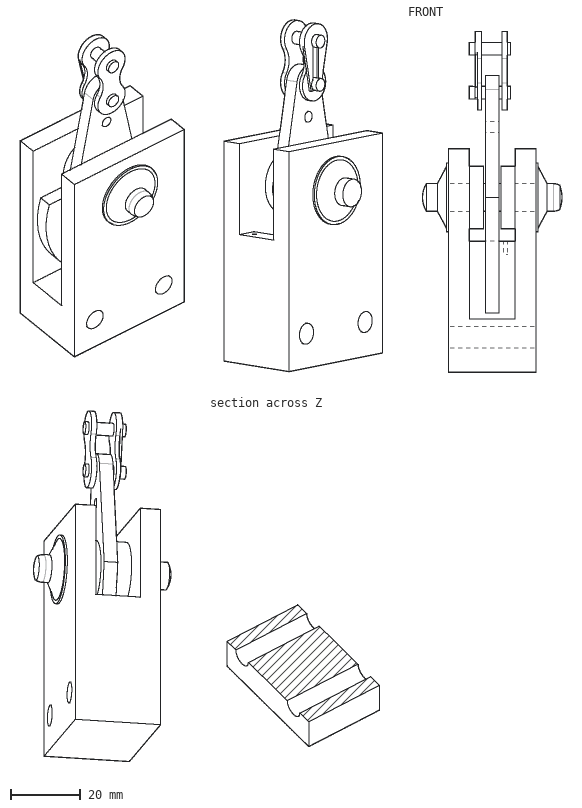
import cadquery as cq
import math


HOUSING_WIDTH = 25.1
HOUSING_DEPTH = 40.0
HOUSING_HEIGHT = 63.9
SLOT_WIDTH = 13.1
SLOT_FLOOR_Z = 15.2
REAR_WALL_THICKNESS = 6.2
REAR_WALL_TOP_Z = 37.5
MOUNT_HOLE_DIAMETER = 6.0
MOUNT_HOLE_SPACING = 25.1
MOUNT_HOLE_Z = 10.0
PILOT_HOLE_DIAMETER = 1.2
PILOT_HOLE_DEPTH = 3.9
PILOT_HOLE_X = 3.8
PILOT_HOLE_Y = 16.7

SHAFT_Z = 50.0
SHAFT_LENGTH = 40.0
SHAFT_RADIUS = 4.0
PLAIN_DOME_RISE = 1.2
NECK_START_X = 17.45
NECK_END_X = 19.3
NECK_END_RADIUS = 3.5
FLANGE_RADIUS = 9.8
FLANGE_THICKNESS = 0.6
CONE_BASE_RADIUS = 8.9
CONE_END_X = 15.7
COLLAR_RADIUS = 9.0
COLLAR_LENGTH = 4.1

LEVER_THICKNESS = 4.0
LEVER_TIP_RADIUS = 5.0
LEVER_TIP_Z = 79.9
LEVER_HALF_WIDTH = 11.0
LEVER_HOLE_DIAMETER = 3.1
LEVER_HOLE_Z = 70.1
CAM_RADIUS = 25.3
CAM_CENTER_Y = 3.3
CAM_CENTER_Z = 42.3

PIN_PITCH = 12.6
PIN_RADIUS = 1.9
PIN_LEFT_X = -6.6
PIN_RIGHT_X = 5.3
PLATE_END_RADIUS = 5.0
PLATE_WAIST_HALF_WIDTH = 3.0
LEFT_PLATE_X = -4.2
LEFT_PLATE_THICKNESS = 1.2
RIGHT_PLATE_X = 2.7
RIGHT_PLATE_THICKNESS = 1.6
CLIP_THICKNESS = 0.7
CLIP_FOOT_HALF_WIDTH = 2.0
CLIP_SLOT_WIDTH = 2.3

UPPER_PIN_Z = LEVER_TIP_Z + PIN_PITCH
INNER_WALL_X = SLOT_WIDTH / 2
OUTER_WALL_X = HOUSING_WIDTH / 2


def yz_plane(x):
    """Sketch plane at the given X: local x is Y, local y is Z, extrusion is +X."""
    return cq.Workplane("YZ", origin=(x, 0, 0))


def rod(x_start, x_end, z, radius):
    """Round bar along X, centred on Y = 0."""
    return yz_plane(x_start).center(0, z).circle(radius).extrude(x_end - x_start)


def flank_tangent(radius, center_z, point_y, point_z):
    """Point (y, z) on a circle at y = 0 where the line from a lower +Y point touches it."""
    distance = math.hypot(point_y, point_z - center_z)
    direction = math.atan2(point_z - center_z, point_y)
    angle = direction + math.acos(radius / distance)
    return radius * math.cos(angle), center_z + radius * math.sin(angle)


def make_housing():
    block = cq.Workplane("XY").box(
        HOUSING_WIDTH, HOUSING_DEPTH, HOUSING_HEIGHT, centered=(True, True, False)
    )
    slot = (
        cq.Workplane("XY", origin=(0, -REAR_WALL_THICKNESS / 2, SLOT_FLOOR_Z))
        .rect(SLOT_WIDTH, HOUSING_DEPTH - REAR_WALL_THICKNESS)
        .extrude(HOUSING_HEIGHT - SLOT_FLOOR_Z)
    )
    above_rear_wall = (
        cq.Workplane("XY", origin=(0, 0, REAR_WALL_TOP_Z))
        .rect(SLOT_WIDTH, HOUSING_DEPTH)
        .extrude(HOUSING_HEIGHT - REAR_WALL_TOP_Z)
    )
    shaft_bore = rod(-OUTER_WALL_X, OUTER_WALL_X, SHAFT_Z, SHAFT_RADIUS)
    mount_holes = (
        yz_plane(-OUTER_WALL_X)
        .center(0, MOUNT_HOLE_Z)
        .rarray(MOUNT_HOLE_SPACING, 1, 2, 1)
        .circle(MOUNT_HOLE_DIAMETER / 2)
        .extrude(HOUSING_WIDTH)
    )
    pilot_hole = (
        cq.Workplane("XY", origin=(PILOT_HOLE_X, PILOT_HOLE_Y, REAR_WALL_TOP_Z))
        .circle(PILOT_HOLE_DIAMETER / 2)
        .extrude(-PILOT_HOLE_DEPTH)
    )
    return block.cut(slot).cut(above_rear_wall).cut(shaft_bore).cut(mount_holes).cut(pilot_hole)


def revolve_about_shaft(half_profile):
    """Turn a closed (x, radius) profile about the shaft axis."""
    turned = half_profile.revolve(360, (0, 0, 0), (1, 0, 0))
    return turned.translate((0, 0, SHAFT_Z))


def make_shaft():
    tip_x = SHAFT_LENGTH / 2
    dome_base_x = PLAIN_DOME_RISE - tip_x
    dome_radius = (SHAFT_RADIUS**2 + PLAIN_DOME_RISE**2) / (2 * PLAIN_DOME_RISE)
    cap_rise = tip_x - NECK_END_X
    cap_radius = (NECK_END_RADIUS**2 + cap_rise**2) / (2 * cap_rise)
    return revolve_about_shaft(
        cq.Workplane("XY")
        .moveTo(-tip_x, 0)
        .radiusArc((dome_base_x, SHAFT_RADIUS), dome_radius)
        .lineTo(NECK_START_X, SHAFT_RADIUS)
        .tangentArcPoint((NECK_END_X, NECK_END_RADIUS), relative=False)
        .radiusArc((tip_x, 0), cap_radius)
        .close()
    )


def make_hub():
    """Inner collar and outer flanged cone on the +X side of the shaft."""
    collar = rod(INNER_WALL_X - COLLAR_LENGTH, INNER_WALL_X, SHAFT_Z, COLLAR_RADIUS)
    flange_face_x = OUTER_WALL_X + FLANGE_THICKNESS
    cone = revolve_about_shaft(
        cq.Workplane("XY").polyline([
            (OUTER_WALL_X, 0),
            (OUTER_WALL_X, FLANGE_RADIUS),
            (flange_face_x, FLANGE_RADIUS),
            (flange_face_x, CONE_BASE_RADIUS),
            (CONE_END_X, SHAFT_RADIUS),
            (CONE_END_X, 0),
        ]).close()
    )
    return [collar, cone]


def make_lever():
    """Tapered arm above the shaft that widens into a cam on the front side below it."""
    tangent_y, tangent_z = flank_tangent(LEVER_TIP_RADIUS, LEVER_TIP_Z, LEVER_HALF_WIDTH, SHAFT_Z)
    cam_front_y = CAM_CENTER_Y - math.sqrt(CAM_RADIUS**2 - (SHAFT_Z - CAM_CENTER_Z) ** 2)
    outline = (
        yz_plane(-LEVER_THICKNESS / 2)
        .moveTo(-LEVER_HALF_WIDTH, SHAFT_Z)
        .lineTo(-tangent_y, tangent_z)
        .threePointArc((0, LEVER_TIP_Z + LEVER_TIP_RADIUS), (tangent_y, tangent_z))
        .lineTo(LEVER_HALF_WIDTH, SHAFT_Z)
        .lineTo(CAM_CENTER_Y, CAM_CENTER_Z - CAM_RADIUS)
        .radiusArc((cam_front_y, SHAFT_Z), CAM_RADIUS)
        .close()
    )
    hole = rod(-LEVER_THICKNESS / 2, LEVER_THICKNESS / 2, LEVER_HOLE_Z, LEVER_HOLE_DIAMETER / 2)
    return outline.extrude(LEVER_THICKNESS).cut(hole)


def make_link_plate(x, thickness):
    """Figure-eight plate: two round ends joined by tangent waist arcs."""
    half_pitch = PIN_PITCH / 2
    middle_z = LEVER_TIP_Z + half_pitch
    waist_radius = (
        half_pitch**2 + PLATE_WAIST_HALF_WIDTH**2 - PLATE_END_RADIUS**2
    ) / (2 * (PLATE_END_RADIUS - PLATE_WAIST_HALF_WIDTH))
    share = PLATE_END_RADIUS / (PLATE_END_RADIUS + waist_radius)
    joint_y = (PLATE_WAIST_HALF_WIDTH + waist_radius) * share
    joint_rise = half_pitch * (1 - share)
    upper_z = middle_z + joint_rise
    lower_z = middle_z - joint_rise
    return (
        yz_plane(x)
        .moveTo(-joint_y, upper_z)
        .threePointArc((0, UPPER_PIN_Z + PLATE_END_RADIUS), (joint_y, upper_z))
        .threePointArc((PLATE_WAIST_HALF_WIDTH, middle_z), (joint_y, lower_z))
        .threePointArc((0, LEVER_TIP_Z - PLATE_END_RADIUS), (-joint_y, lower_z))
        .threePointArc((-PLATE_WAIST_HALF_WIDTH, middle_z), (-joint_y, upper_z))
        .close()
        .extrude(thickness)
    )


def make_spring_clip():
    """Tapered clip on the left plate, forked around the lower pin."""
    foot_z = LEVER_TIP_Z - PIN_RADIUS
    clip_x = LEFT_PLATE_X - CLIP_THICKNESS
    tangent_y, tangent_z = flank_tangent(PLATE_END_RADIUS, UPPER_PIN_Z, CLIP_FOOT_HALF_WIDTH, foot_z)
    blank = (
        yz_plane(clip_x)
        .moveTo(-CLIP_FOOT_HALF_WIDTH, foot_z)
        .lineTo(-tangent_y, tangent_z)
        .threePointArc((0, UPPER_PIN_Z + PLATE_END_RADIUS), (tangent_y, tangent_z))
        .lineTo(CLIP_FOOT_HALF_WIDTH, foot_z)
        .close()
        .extrude(CLIP_THICKNESS)
    )
    slot_length = UPPER_PIN_Z - foot_z
    slot = (
        yz_plane(clip_x)
        .center(0, foot_z + slot_length / 2)
        .rect(CLIP_SLOT_WIDTH, slot_length)
        .extrude(CLIP_THICKNESS)
    )
    return blank.cut(slot)


def make_swing_arm():
    """Shaft, both hubs, lever and chain link as one solid."""
    arm = make_lever().union(make_shaft())
    for hub_part in make_hub():
        arm = arm.union(hub_part).union(hub_part.mirror("YZ"))
    arm = arm.union(make_link_plate(LEFT_PLATE_X, LEFT_PLATE_THICKNESS))
    arm = arm.union(make_link_plate(RIGHT_PLATE_X, RIGHT_PLATE_THICKNESS))
    arm = arm.union(make_spring_clip())
    for pin_z in (LEVER_TIP_Z, UPPER_PIN_Z):
        arm = arm.union(rod(PIN_LEFT_X, PIN_RIGHT_X, pin_z, PIN_RADIUS))
    return arm


housing = make_housing()
swing_arm = make_swing_arm()
result = cq.Compound.makeCompound([housing.solids().val(), swing_arm.solids().val()])